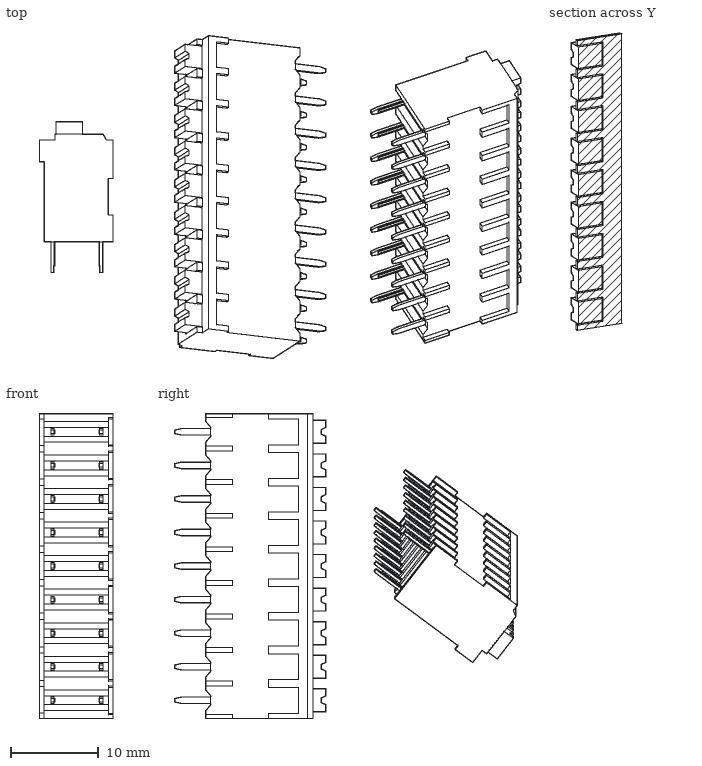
import cadquery as cq

LENGTH = 34.68
POLES = 9
PITCH = 3.8
FIRST_POLE = -PITCH * (POLES - 1) / 2

WIDTH = 8.4
STEP = 0.55
LEFT_WALL = STEP
RIGHT_WALL = WIDTH - STEP
FRONT_Y = 3.5
SHOULDER_Y = 15.1
RAIL_DEPTH = 1.0
RIDGE_Y = 15.75
RIDGE_X = (1.77, 7.63)
RIDGE_BEVEL = 0.38

LEFT_TOOTH_Y = 12.6
LEFT_TOOTH_HEIGHT = 0.73
LEFT_END_TOOTH_HEIGHT = 0.62
RIGHT_TOOTH_Y = 10.68
RIGHT_TOOTH_HEIGHT = 0.85
FOOT_Y = 6.55
FOOT_HEIGHT = 0.55

GROOVE_DEPTH = 0.6
GROOVE_MOUTH = 2.35
GROOVE_FLOOR = 1.0

BUTTON_X = (1.87, 4.92)
BUTTON_Y = 17.15
BUTTON_HEIGHT = 2.65
BUTTON_GAP = 0.1
SLOT_DEPTH = 0.5
SLOT_MOUTH = 0.97
SLOT_FLOOR = 0.52

PIN_X = (1.32, 7.2)
PIN_THICKNESS = 0.35
PIN_HEIGHT = 0.75
PIN_TIP_HEIGHT = 0.4
PIN_TAPER = 0.75
PIN_RIB = 0.1
PIN_RIB_HEIGHT = 0.4
PIN_ROOT = 0.7

POLE_CENTERS = [FIRST_POLE + i * PITCH for i in range(POLES)]
JOINTS = [FIRST_POLE + (i - 0.5) * PITCH for i in range(POLES + 1)]


def block(x, y, z):
    """Box spanning the given (low, high) ranges."""
    size = [high - low for low, high in (x, y, z)]
    return cq.Workplane("XY").box(*size, centered=False).translate((x[0], y[0], z[0]))


def centered_range(center, height):
    return (center - height / 2, center + height / 2)


def joint_range(joint, height):
    """Z range of a feature on a joint between poles; at the row ends it reaches the end face."""
    low, high = centered_range(joint, height)
    if joint == JOINTS[0]:
        low = -LENGTH / 2
    if joint == JOINTS[-1]:
        high = LENGTH / 2
    return (low, high)


def side_profile(points, x):
    """Prism along X of a (Y, Z) outline."""
    return cq.Workplane("YZ").polyline(points).close().extrude(x[1] - x[0]).translate((x[0], 0, 0))


def trapezoid(center, y_wide, y_narrow, wide, narrow):
    """(Y, Z) outline narrowing from y_wide to y_narrow, symmetric about center."""
    return [
        (y_wide, center - wide / 2),
        (y_narrow, center - narrow / 2),
        (y_narrow, center + narrow / 2),
        (y_wide, center + wide / 2),
    ]


def ridge():
    """Ridge along the back of the row with a sloping +X flank."""
    left, right = RIDGE_X
    outline = [
        (left, SHOULDER_Y),
        (right, SHOULDER_Y),
        (right - RIDGE_BEVEL, RIDGE_Y),
        (left, RIDGE_Y),
    ]
    profile = cq.Workplane("XY").polyline(outline).close()
    return profile.extrude(LENGTH).translate((0, 0, -LENGTH / 2))


def housing():
    row = (-LENGTH / 2, LENGTH / 2)
    body = block((LEFT_WALL, RIGHT_WALL), (FRONT_Y, SHOULDER_Y), row)
    body = body.union(block((0, WIDTH), (SHOULDER_Y - RAIL_DEPTH, SHOULDER_Y), row))
    body = body.union(ridge())
    for end_z in (
        (row[0], row[0] + LEFT_END_TOOTH_HEIGHT),
        (row[1] - LEFT_END_TOOTH_HEIGHT, row[1]),
    ):
        body = body.union(block((0, LEFT_WALL), (LEFT_TOOTH_Y, SHOULDER_Y), end_z))
    for joint in JOINTS[1:-1]:
        left_z = centered_range(joint, LEFT_TOOTH_HEIGHT)
        body = body.union(block((0, LEFT_WALL), (LEFT_TOOTH_Y, SHOULDER_Y), left_z))
    for joint in JOINTS:
        right_z = joint_range(joint, RIGHT_TOOTH_HEIGHT)
        foot_z = joint_range(joint, FOOT_HEIGHT)
        body = body.union(block((RIGHT_WALL, WIDTH), (RIGHT_TOOTH_Y, SHOULDER_Y), right_z))
        body = body.union(block((RIGHT_WALL, WIDTH), (FRONT_Y, FOOT_Y), foot_z))
    return body


def front_groove(center):
    outline = trapezoid(center, FRONT_Y, FRONT_Y + GROOVE_DEPTH, GROOVE_MOUTH, GROOVE_FLOOR)
    return side_profile(outline, (0, WIDTH))


def button_window(center):
    x = (RIDGE_X[0], BUTTON_X[1] + BUTTON_GAP)
    return block(x, (SHOULDER_Y, RIDGE_Y), centered_range(center, BUTTON_HEIGHT + 2 * BUTTON_GAP))


def button(center):
    body = block(BUTTON_X, (SHOULDER_Y, BUTTON_Y), centered_range(center, BUTTON_HEIGHT))
    slot = trapezoid(center, BUTTON_Y, BUTTON_Y - SLOT_DEPTH, SLOT_MOUTH, SLOT_FLOOR)
    return body.cut(side_profile(slot, BUTTON_X))


def pin(center, outer_x, inward):
    """Flat pin with a tapered tip and a rib on its inner face; inward is the X direction of the rib."""
    inner_x = outer_x + inward * PIN_THICKNESS
    rib_x = inner_x + inward * PIN_RIB
    root_y = FRONT_Y + GROOVE_DEPTH + PIN_ROOT
    blade_x = sorted((outer_x, inner_x))
    blade = block(blade_x, (PIN_TAPER, root_y), centered_range(center, PIN_HEIGHT))
    tip = side_profile(trapezoid(center, PIN_TAPER, 0, PIN_HEIGHT, PIN_TIP_HEIGHT), blade_x)
    rib = block(sorted((inner_x, rib_x)), (PIN_TAPER, root_y), centered_range(center, PIN_RIB_HEIGHT))
    return blade.union(tip).union(rib)


result = housing()
for pole in POLE_CENTERS:
    result = result.cut(front_groove(pole)).cut(button_window(pole))
    result = result.union(button(pole))
    result = result.union(pin(pole, PIN_X[0], 1)).union(pin(pole, PIN_X[1], -1))